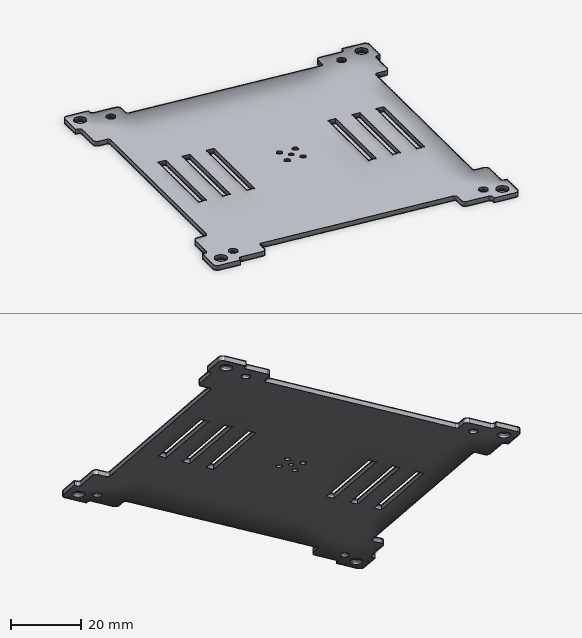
import cadquery as cq

overall_size = 97.0
thickness = 1.6
half_size = overall_size / 2

body_inset = 6.2
step_inset = 1.65
step_start = 8.1
tab_length = 17.2

corner_radius = 1.4
step_radius = 1.0
tab_end_radius = 1.3
body_corner_radius = 0.8

mount_hole_diameter = 3.7
mount_hole_offset = 44.8
pin_hole_diameter = 2.7
pin_hole_x = 42.7
left_pin_hole_upper_y = 37.3
left_pin_hole_lower_y = -36.1
right_pin_hole_y = 39.9
center_hole_diameter = 1.5
cluster_hole_diameter = 1.7
cluster_hole_offset = 2.5

slot_length = 25.8
slot_width = 2.4
first_slot_y = 19.4
slot_pitch = 7.7
slots_per_group = 3


def square_points(offset):
    return [(x, y) for x in (-offset, offset) for y in (-offset, offset)]


def cut_all_sides(plate, length, inset, inner_radius):
    """Cut a centred recess into every side, with its two inner corners rounded."""
    recess = (
        cq.Workplane("XY")
        .box(length, 2 * inset, thickness)
        .edges("|Z and <Y")
        .fillet(inner_radius)
        .translate((0, half_size, 0))
    )
    for quarter in range(4):
        plate = plate.cut(recess.rotate((0, 0, 0), (0, 0, 1), 90 * quarter))
    return plate


def round_tab_ends(plate):
    """Round the outward corner at both ends of every corner tab."""
    along = half_size - tab_length
    across = half_size - step_inset
    margin = 0.1
    for x_sign, y_sign in square_points(1):
        for x, y in ((along, across), (across, along)):
            corner = (x_sign * x, y_sign * y)
            selector = cq.selectors.BoxSelector(
                (corner[0] - margin, corner[1] - margin, -thickness),
                (corner[0] + margin, corner[1] + margin, thickness),
            )
            plate = plate.edges("|Z").edges(selector).fillet(tab_end_radius)
    return plate


def make_plate():
    """Square plate whose sides step inward twice, leaving a tab at each corner."""
    plate = cq.Workplane("XY").box(overall_size, overall_size, thickness)
    plate = plate.edges("|Z").fillet(corner_radius)
    plate = cut_all_sides(plate, overall_size - 2 * step_start, step_inset, step_radius)
    plate = cut_all_sides(plate, overall_size - 2 * tab_length, body_inset, body_corner_radius)
    return round_tab_ends(plate)


def round_holes(diameter, points):
    return cq.Workplane("XY").pushPoints(points).circle(diameter / 2).extrude(thickness, both=True)


def slots():
    points = [
        (0, side * (first_slot_y + slot_pitch * row))
        for side in (-1, 1)
        for row in range(slots_per_group)
    ]
    return cq.Workplane("XY").pushPoints(points).rect(slot_length, slot_width).extrude(thickness, both=True)


pin_hole_points = [
    (-pin_hole_x, left_pin_hole_upper_y),
    (-pin_hole_x, left_pin_hole_lower_y),
    (pin_hole_x, right_pin_hole_y),
    (pin_hole_x, -right_pin_hole_y),
]

result = (
    make_plate()
    .cut(round_holes(mount_hole_diameter, square_points(mount_hole_offset)))
    .cut(round_holes(pin_hole_diameter, pin_hole_points))
    .cut(round_holes(center_hole_diameter, [(0, 0)]))
    .cut(round_holes(cluster_hole_diameter, square_points(cluster_hole_offset)))
    .cut(slots())
)